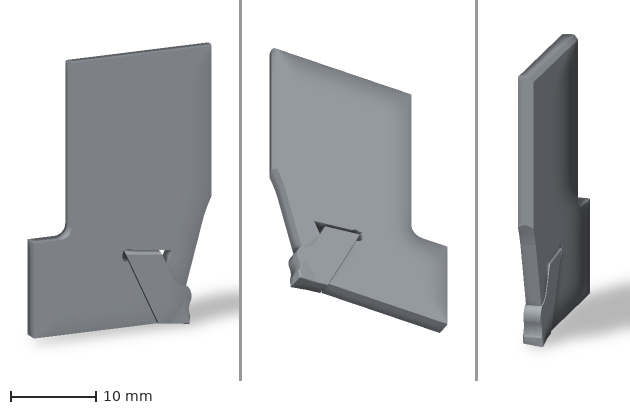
import cadquery as cq
import math


blade_thickness = 1.9
blade_height = 33.14
back_y = 23.04
shank_front_y = 4.6
foot_height = 11.65
foot_fillet = 1.4
edge_bevel = 15
top_chamfer = 0.5
flank_start_z = 15.16
flank_arc_mid = (22.34, 13.8)
flank_arc_end = (21.78, 12.36)
jaw_tip = (19.52, 4.2)

seat_lean = 25
seat_foot = (15.83, 0)
seat_ridge = 0.3
ceiling_slope = 6.5
ceiling_corner = (17.83, 8.72)
grip_point = (17.04, 7.02)
grip_arc_start = (17.75, 5.47)
grip_arc_mid = (18.38, 4.71)
relief_radius = 0.8
relief_center = (12.13, 8.73)
mouth_depth = 2

insert_thickness = 2.1
flare_width = 2.518
edge_gap = 0.1
end_crown = 0.5
underside_stock = 1
lead_angle = 6
tip_low_z = -0.73
clearance_slope = 6.5
corner_radius = 0.12
nose_mid = (19.99, 3.63)
rake_top = (20.1, 2.34)
groove_bottom = (19.84, 1.55)
rake_land = (19.99, 0.4)
tip_y = 19.85
flare_top = (19.23, 2.34)
flare_rear = (17.38, -0.48)
flare_tip_y = 19.75

long = 40
half_blade = blade_thickness / 2
half_insert = insert_thickness / 2
half_flare = flare_width / 2

lean = math.radians(seat_lean)
slope = math.radians(ceiling_slope)
seat_up = (-math.sin(lean), math.cos(lean))
ceiling_up = (-math.cos(slope), math.sin(slope))
bevel_depth = half_blade * math.tan(math.radians(edge_bevel))


def meet(p, u, q, v):
    """Point where the line through p along u crosses the line through q along v."""
    t = ((q[0] - p[0]) * v[1] - (q[1] - p[1]) * v[0]) / (u[0] * v[1] - u[1] * v[0])
    return (p[0] + t * u[0], p[1] + t * u[1])


def prism_plane(point, direction):
    """Section plane at a (y, z) point, square to a (y, z) direction, with local x along X."""
    return cq.Plane((0, *point), (1, 0, 0), (0, *direction))


def seat_prism(height, half_base):
    """Triangular bar along the seat, its apex on the line of the seat ridge."""
    base = seat_ridge - height
    section = [(-half_base, base), (half_base, base), (0, seat_ridge)]
    bar = cq.Workplane(prism_plane(seat_foot, seat_up)).polyline(section).close()
    return bar.extrude(long / 2, both=True)


def make_pocket():
    ceiling_end = meet(seat_foot, seat_up, ceiling_corner, ceiling_up)
    seat_end = meet(seat_foot, seat_up, (0, -mouth_depth), (1, 0))
    cavity = (
        cq.Workplane("YZ")
        .moveTo(*ceiling_corner)
        .lineTo(*ceiling_end)
        .lineTo(*seat_end)
        .lineTo(back_y, -mouth_depth)
        .lineTo(back_y, jaw_tip[1])
        .lineTo(*jaw_tip)
        .threePointArc(grip_arc_mid, grip_arc_start)
        .lineTo(*grip_point)
        .close()
        .extrude(blade_thickness, both=True)
        .cut(seat_prism(seat_ridge, half_blade))
    )
    relief = cq.Workplane("YZ").center(*relief_center).circle(relief_radius)
    return cavity.union(relief.extrude(blade_thickness, both=True))


def make_blade():
    roof_edges = [
        (-half_blade, shank_front_y + bevel_depth),
        (0, shank_front_y),
        (half_blade, shank_front_y + bevel_depth),
        (half_blade, back_y - bevel_depth),
        (0, back_y),
        (-half_blade, back_y - bevel_depth),
    ]
    shank = cq.Workplane("XY").polyline(roof_edges).close().extrude(blade_height)
    foot_size = (blade_thickness, back_y / 2, foot_height)
    foot = cq.Workplane("XY").box(*foot_size, centered=(True, False, False))
    blank = shank.union(foot)
    inner_corner = cq.selectors.BoxSelector(
        (-blade_thickness, shank_front_y - bevel_depth, foot_height - bevel_depth),
        (blade_thickness, shank_front_y + 2 * bevel_depth, foot_height + bevel_depth),
    )
    blank = blank.edges(inner_corner).edges("#Z").fillet(foot_fillet)
    blank = blank.faces(">Z").edges("<X").chamfer(top_chamfer)

    outline = (
        cq.Workplane("YZ")
        .moveTo(0, 0)
        .lineTo(0, blade_height)
        .lineTo(back_y, blade_height)
        .lineTo(back_y, flank_start_z)
        .threePointArc(flank_arc_mid, flank_arc_end)
        .lineTo(*jaw_tip)
        .lineTo(jaw_tip[0], 0)
        .close()
        .extrude(blade_thickness, both=True)
    )
    return blank.intersect(outline).cut(make_pocket())


def cutting_edge_z(x):
    return tip_low_z + (x + half_flare) * math.tan(math.radians(lead_angle))


def make_flare(side):
    """Pyramid on one side face that widens the insert to its cutting width; side is -1 or 1."""
    face_x = side * half_insert
    tip_x = side * half_flare
    apex = cq.Vector(tip_x, flare_tip_y, cutting_edge_z(tip_x))
    below_tip = (tip_y, cutting_edge_z(face_x) - underside_stock)
    base = [cq.Vector(face_x, *point) for point in (flare_top, rake_top, below_tip, flare_rear)]
    faces = [cq.Face.makeFromWires(cq.Wire.makePolygon(base, close=True))]
    for i, corner in enumerate(base):
        triangle = [corner, base[(i + 1) % len(base)], apex]
        faces.append(cq.Face.makeFromWires(cq.Wire.makePolygon(triangle, close=True)))
    return cq.Workplane(cq.Solid.makeSolid(cq.Shell.makeShell(faces)))


def make_crown_cut(top_left):
    """Material above the rounded upper end of the insert."""
    section = (
        cq.Workplane(prism_plane(top_left, ceiling_up))
        .moveTo(-half_insert, -end_crown)
        .threePointArc((0, 0), (half_insert, -end_crown))
        .lineTo(half_insert, end_crown)
        .lineTo(-half_insert, end_crown)
        .close()
    )
    return section.extrude(long / 2, both=True)


def insert_profile(top_left):
    """Outline of the insert, running on below its clearance face."""
    back_foot = (seat_foot[0] + edge_gap / math.cos(lean), seat_foot[1])
    top_right = meet(back_foot, seat_up, ceiling_corner, ceiling_up)
    blank_bottom = tip_low_z - underside_stock
    bottom_right = meet(back_foot, seat_up, (0, blank_bottom), (1, 0))
    return (
        cq.Workplane("YZ")
        .moveTo(*top_left)
        .lineTo(*top_right)
        .lineTo(*bottom_right)
        .lineTo(tip_y, blank_bottom)
        .lineTo(tip_y, tip_low_z)
        .lineTo(*rake_land)
        .threePointArc(groove_bottom, rake_top)
        .threePointArc(nose_mid, jaw_tip)
        .threePointArc(grip_arc_mid, grip_arc_start)
        .lineTo(*grip_point)
        .close()
    )


def make_clearance_cut():
    """Everything below the clearance face, which slopes back from the slanted cutting edge."""
    under = cq.Workplane("XY").box(long, long, long, centered=(True, True, False))
    under = under.translate((0, 0, -long))
    under = under.rotate((0, 0, 0), (1, 0, 0), -clearance_slope)
    under = under.rotate((0, 0, 0), (0, 1, 0), -lead_angle)
    return under.translate((-half_flare, flare_tip_y, tip_low_z))


def round_clearance_sides(body):
    """Round the two long edges of the clearance face."""
    clearance_middle = (0, (seat_foot[0] + tip_y) / 2, tip_low_z)
    for side in (-1, 1):
        clearance_face = body.faces(cq.selectors.NearestToPointSelector(clearance_middle))
        side_zone = cq.selectors.BoxSelector(
            (side * half_blade, 0, -long),
            (side * flare_width, flare_tip_y, long),
        )
        body = clearance_face.edges(side_zone).fillet(corner_radius)
    return body


def make_insert():
    top_left = meet(grip_point, seat_up, ceiling_corner, ceiling_up)
    body = insert_profile(top_left).extrude(half_insert, both=True)
    flare_limit = insert_profile(top_left).extrude(half_flare, both=True)
    body = body.cut(make_crown_cut(top_left))
    body = body.cut(seat_prism(seat_ridge - edge_gap, half_insert))

    for side in (-1, 1):
        body = body.union(make_flare(side).intersect(flare_limit))
    return round_clearance_sides(body.cut(make_clearance_cut()))


blade = make_blade()
insert = make_insert()
result = cq.Compound.makeCompound([blade.solids().val(), insert.solids().val()])